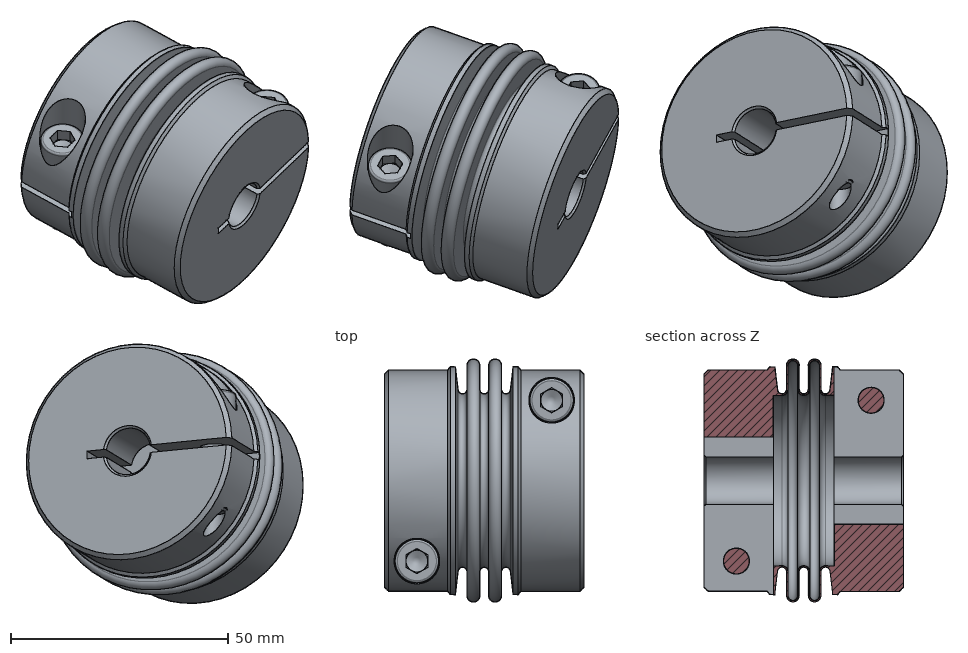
import cadquery as cq


length = 46.0
hub_length = 16.0
mid_x = length / 2

hub_radius = 51.0 / 2
hub_chamfer = 1.0
flange_radius = 52.5 / 2
flange_width = 1.2
flange_chamfer_length = 0.6
bore_radius = 5.5
bore_chamfer = 0.5
slit_width = 1.8
slit_depth_past_axis = 10.0

wall = 0.4
recess_depth = wall
end_disc_radius = 52.1 / 2
outer_radius = 28.0
crest_arc = 1.5
root_arc = 1.0
root_radius = 20.0
crest_count = 2
crest_pitch = 2 * (crest_arc + root_arc)
crest_centre = outer_radius - crest_arc
root_centre = root_radius + root_arc
first_root_x = mid_x - crest_count * crest_pitch / 2

screw_x = 7.5
screw_y = -18.5
head_radius = 5.0
head_height = 6.0
head_top = 13.5
head_round = 0.5
head_seat = head_top - head_height
shank_radius = 3.0
shank_length = 22.0
shank_end = head_seat - shank_length
shank_chamfer = 0.5
socket_flats = 5.0
socket_depth = 3.0
socket_cone_depth = 1.25
counterbore_radius = 10.5 / 2
clearance_radius = 6.4 / 2
pilot_radius = shank_radius - shank_chamfer


def screw_axis_cylinder(radius, z_low, z_high):
    """Cylinder on the screw axis between two heights."""
    return (
        cq.Workplane("XY", origin=(screw_x, screw_y, z_low))
        .circle(radius)
        .extrude(z_high - z_low)
    )


def revolved(profile):
    """Close a profile and turn it about the X axis."""
    return profile.close().revolve(360, (0, 0, 0), (1, 0, 0))


def hub_blank():
    """Turned hub with a chamfered bore and a recess in the flange for the bellows."""
    flange_end = hub_length + recess_depth
    flange_start = flange_end - flange_width
    profile = (
        cq.Workplane("XY")
        .moveTo(0, -bore_radius - bore_chamfer)
        .lineTo(0, hub_chamfer - hub_radius)
        .lineTo(hub_chamfer, -hub_radius)
        .lineTo(flange_start - flange_chamfer_length, -hub_radius)
        .lineTo(flange_start, -flange_radius)
        .lineTo(flange_end, -flange_radius)
        .lineTo(flange_end, -end_disc_radius)
        .lineTo(hub_length, -end_disc_radius)
        .lineTo(hub_length, -bore_radius)
        .lineTo(bore_chamfer, -bore_radius)
    )
    return revolved(profile)


def clamp_slit():
    """Slit along the hub as far as the bellows recess, open on the -Y side and ending past the bore."""
    return cq.Workplane("XY").box(
        hub_length,
        flange_radius + slit_depth_past_axis,
        slit_width,
        centered=(False, False, True),
    ).translate((0, -flange_radius, 0))


def screw_hole():
    """Counterbore and clearance hole above the slit, pilot hole below it."""
    counterbore = screw_axis_cylinder(counterbore_radius, head_seat, flange_radius)
    clearance = screw_axis_cylinder(clearance_radius, 0, head_seat)
    pilot = screw_axis_cylinder(pilot_radius, -flange_radius, 0)
    return counterbore.union(clearance).union(pilot)


def hex_socket():
    """Hexagon socket with a cone-shaped bottom; two flats face along X."""
    socket_bottom = head_top - socket_depth
    hexagon = (
        cq.Workplane("XY", origin=(screw_x, screw_y, socket_bottom))
        .polygon(6, socket_flats, circumscribed=True)
        .extrude(socket_depth)
    )
    cone = cq.Solid.makeCone(
        socket_flats / 2,
        0,
        socket_cone_depth,
        pnt=cq.Vector(screw_x, screw_y, socket_bottom),
        dir=cq.Vector(0, 0, -1),
    )
    return hexagon.union(cq.Workplane(cone))


def clamp_screw():
    """Socket head cap screw."""
    head = screw_axis_cylinder(head_radius, head_seat, head_top)
    head = head.faces(">Z").edges().fillet(head_round)
    shank = screw_axis_cylinder(shank_radius, shank_end, head_seat)
    shank = shank.faces("<Z").chamfer(shank_chamfer)
    return head.union(shank).cut(hex_socket())


def clamping_hub():
    """Left hub with its slit and its fitted screw."""
    hub = hub_blank().cut(clamp_slit()).cut(screw_hole())
    return hub.union(clamp_screw())


def convolutions(profile, root_bend, crest_bend):
    """Continue a profile from the first root through every crest to the last root."""
    for index in range(crest_count):
        root_x = first_root_x + index * crest_pitch
        crest_x = root_x + crest_pitch / 2
        next_root_x = root_x + crest_pitch
        profile = (
            profile
            .radiusArc((root_x + root_bend, root_centre), -root_bend)
            .lineTo(crest_x - crest_bend, crest_centre)
            .threePointArc(
                (crest_x, crest_centre + crest_bend),
                (crest_x + crest_bend, crest_centre),
            )
            .lineTo(next_root_x - root_bend, root_centre)
            .radiusArc((next_root_x, root_centre - root_bend), -root_bend)
        )
    return profile


def bellows():
    """Thin-walled bellows with coned ends that sit in the hub recesses."""
    right_x = length - hub_length
    last_root_x = length - first_root_x
    outside = (
        cq.Workplane("XY")
        .moveTo(hub_length, 0)
        .lineTo(hub_length, end_disc_radius)
        .lineTo(hub_length + wall, end_disc_radius)
        .lineTo(first_root_x - root_arc, root_centre)
        .radiusArc((first_root_x, root_radius), -root_arc)
    )
    outside = (
        convolutions(outside, root_arc, crest_arc)
        .radiusArc((last_root_x + root_arc, root_centre), -root_arc)
        .lineTo(right_x - wall, end_disc_radius)
        .lineTo(right_x, end_disc_radius)
        .lineTo(right_x, 0)
    )
    inside = (
        cq.Workplane("XY")
        .moveTo(hub_length, 0)
        .lineTo(hub_length, root_radius - wall)
        .lineTo(first_root_x, root_radius - wall)
    )
    inside = (
        convolutions(inside, root_arc + wall, crest_arc - wall)
        .lineTo(right_x, root_radius - wall)
        .lineTo(right_x, 0)
    )
    return revolved(outside).cut(revolved(inside))


left_hub = clamping_hub()
right_hub = left_hub.rotate((mid_x, 0, 0), (mid_x, 0, 1), 180)
result = left_hub.union(bellows()).union(right_hub)